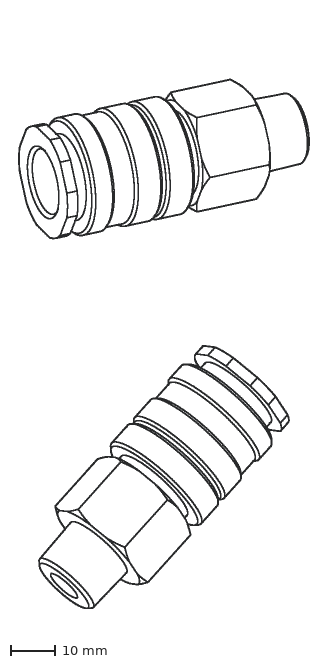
import cadquery as cq
import math

flange_end = 2.6
sleeve_start = 6.05
sleeve_end = 31.7
hex_start = 34.15
hex_end = 51.0
total_length = 63.0

neck_radius = 10.0
groove_radius = 13.0
band_radius = 27.3 / 2
flange_radius = 13.0
through_radius = 8.0 / 2
socket_radius = 7.55
socket_mouth_radius = 8.4
socket_depth = hex_start
spigot_root_radius = 8.5
spigot_tip_radius = 8.2
spigot_chamfer = 0.8

grooves = [(11.65, 16.7), (23.7, 24.65)]
band_chamfer_length = 0.7

hex_across_flats = 24.0
hex_face_radius = 12.2
hex_chamfer_angle = 32
flange_across_flats = 24.95


def corner_diameter(across_flats):
    return across_flats / math.cos(math.radians(30))


def revolve(points):
    """Turn a closed (radius, y) outline around the Y axis."""
    return cq.Workplane("XY").polyline(points).close().revolve(360, (0, 0), (0, 1))


def cylinder(radius, start, end):
    return revolve([(0, start), (radius, start), (radius, end), (0, end)])


def hexagon(across_flats, start, end):
    """Hexagonal prism along Y with flats facing up and down."""
    plane = cq.Workplane("XZ", origin=(0, start, 0))
    return plane.polygon(6, corner_diameter(across_flats)).extrude(start - end)


def sleeve_band(start, end):
    """Raised ring with both rims chamfered down to the groove radius."""
    return revolve([
        (0, start),
        (groove_radius, start),
        (band_radius, start + band_chamfer_length),
        (band_radius, end - band_chamfer_length),
        (groove_radius, end),
        (0, end),
    ])


def sleeve():
    body = cylinder(groove_radius, sleeve_start, sleeve_end)
    band_starts = [sleeve_start] + [groove[1] for groove in grooves]
    band_ends = [groove[0] for groove in grooves] + [sleeve_end]
    for start, end in zip(band_starts, band_ends):
        body = body.union(sleeve_band(start, end))
    return body


def flange():
    disc = cylinder(flange_radius, 0, flange_end)
    return disc.intersect(hexagon(flange_across_flats, 0, flange_end))


def hex_nut():
    """Hexagon with its corners turned off conically at both ends."""
    corner_radius = corner_diameter(hex_across_flats) / 2
    chamfer_length = (corner_radius - hex_face_radius) * math.tan(math.radians(hex_chamfer_angle))
    envelope = revolve([
        (0, hex_start),
        (hex_face_radius, hex_start),
        (corner_radius, hex_start + chamfer_length),
        (corner_radius, hex_end - chamfer_length),
        (hex_face_radius, hex_end),
        (0, hex_end),
    ])
    return hexagon(hex_across_flats, hex_start, hex_end).intersect(envelope)


def spigot():
    """Tapered male end with a chamfered tip."""
    return revolve([
        (0, hex_end),
        (spigot_root_radius, hex_end),
        (spigot_tip_radius, total_length - spigot_chamfer),
        (spigot_tip_radius - spigot_chamfer, total_length),
        (0, total_length),
    ])


def bore():
    """Chamfered socket stepping down to the through hole."""
    mouth_depth = socket_mouth_radius - socket_radius
    return revolve([
        (0, 0),
        (socket_mouth_radius, 0),
        (socket_radius, mouth_depth),
        (socket_radius, socket_depth),
        (through_radius, socket_depth),
        (through_radius, total_length),
        (0, total_length),
    ])


neck = cylinder(neck_radius, 0, hex_start)
body = neck.union(flange()).union(sleeve()).union(hex_nut()).union(spigot())
result = body.cut(bore())